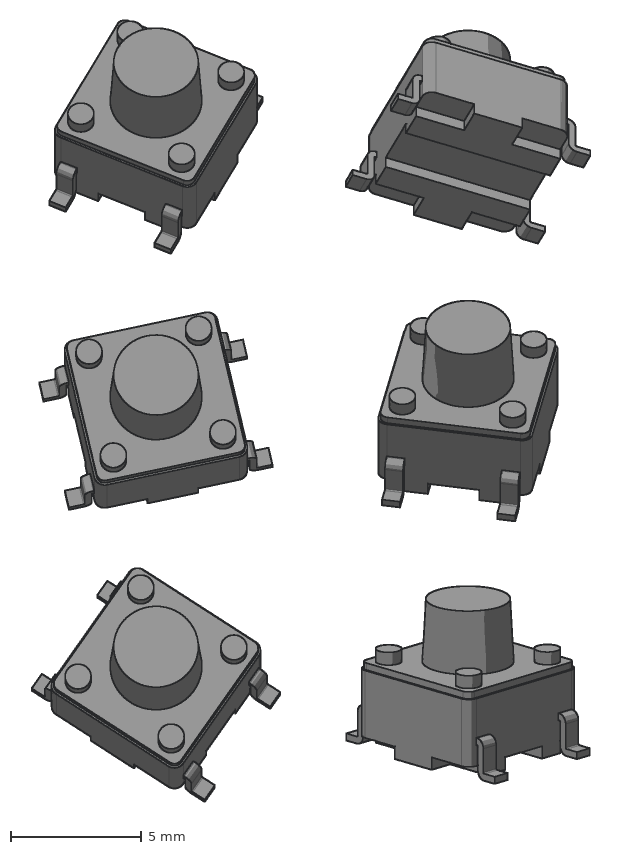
import cadquery as cq

body_size = 6.0
half_body = body_size / 2
corner_radius = 0.4
body_top = 3.21
foot_height = 0.5

channel_width = body_size / 3
half_channel = channel_width / 2
rail_width = half_channel

cover_inset = 0.09
cover_thickness = 0.28
cover_top = body_top + cover_thickness
rivet_diameter = 1.0
rivet_top = 4.0
rivet_offset = 2.15

button_base_diameter = 3.52
button_top_diameter = 3.25
button_top = 6.0

lead_span = 8.0
lead_width = 0.7
lead_thickness = 0.29
lead_outer_x = half_body - corner_radius
lead_center_x = lead_outer_x - lead_width / 2
lead_top = 1.63
lead_gap = 0.1
inner_bend_radius = 0.05
outer_bend_radius = inner_bend_radius + lead_thickness


def rounded_plate(size, radius, bottom, top):
    """Square plate with rounded vertical corners."""
    return (
        cq.Workplane("XY", origin=(0, 0, bottom))
        .rect(size, size)
        .extrude(top - bottom)
        .edges("|Z")
        .fillet(radius)
    )


def block(x_size, y_size, x_center):
    """Standoff block from the seating plane up to the housing."""
    return (
        cq.Workplane("XY")
        .center(x_center, 0)
        .rect(x_size, y_size)
        .extrude(foot_height)
    )


def feet():
    """Rails along Y on both sides of a central channel, each with a pad reaching the side wall."""
    pad_length = half_body - half_channel
    solid = cq.Workplane("XY")
    for side in (-1, 1):
        rail_center = side * (half_channel + rail_width / 2)
        pad_center = side * (half_channel + pad_length / 2)
        solid = solid.union(block(rail_width, body_size, rail_center))
        solid = solid.union(block(pad_length, channel_width, pad_center))
    return solid


def rivets():
    """Four round rivet heads on the cover."""
    return (
        cq.Workplane("XY", origin=(0, 0, cover_top))
        .rect(2 * rivet_offset, 2 * rivet_offset, forConstruction=True)
        .vertices()
        .circle(rivet_diameter / 2)
        .extrude(rivet_top - cover_top)
    )


def button():
    """Tapered round plunger."""
    return (
        cq.Workplane("XY", origin=(0, 0, cover_top))
        .circle(button_base_diameter / 2)
        .workplane(offset=button_top - cover_top)
        .circle(button_top_diameter / 2)
        .loft(ruled=True)
    )


def lead():
    """Z-bent lead leaving the +Y wall, on the +X side."""
    root = half_body - lead_thickness
    tip = lead_span / 2
    inner = half_body + lead_gap
    outer = inner + lead_thickness
    shoulder_bottom = lead_top - lead_thickness
    profile = (
        cq.Workplane("YZ", origin=(lead_center_x, 0, 0))
        .moveTo(root, lead_top)
        .lineTo(outer - outer_bend_radius, lead_top)
        .radiusArc((outer, lead_top - outer_bend_radius), outer_bend_radius)
        .lineTo(outer, lead_thickness + inner_bend_radius)
        .radiusArc((outer + inner_bend_radius, lead_thickness), -inner_bend_radius)
        .lineTo(tip, lead_thickness)
        .lineTo(tip, 0)
        .lineTo(inner + outer_bend_radius, 0)
        .radiusArc((inner, outer_bend_radius), outer_bend_radius)
        .lineTo(inner, shoulder_bottom - inner_bend_radius)
        .radiusArc((inner - inner_bend_radius, shoulder_bottom), -inner_bend_radius)
        .lineTo(root, shoulder_bottom)
        .close()
    )
    return profile.extrude(lead_width / 2, both=True)


housing = rounded_plate(body_size, corner_radius, foot_height, body_top)
cover = rounded_plate(body_size - 2 * cover_inset, corner_radius - cover_inset, body_top, cover_top)
result = housing.union(cover).union(feet()).union(rivets()).union(button())

right_leads = lead().union(lead().mirror("XZ"))
result = result.union(right_leads).union(right_leads.mirror("YZ"))